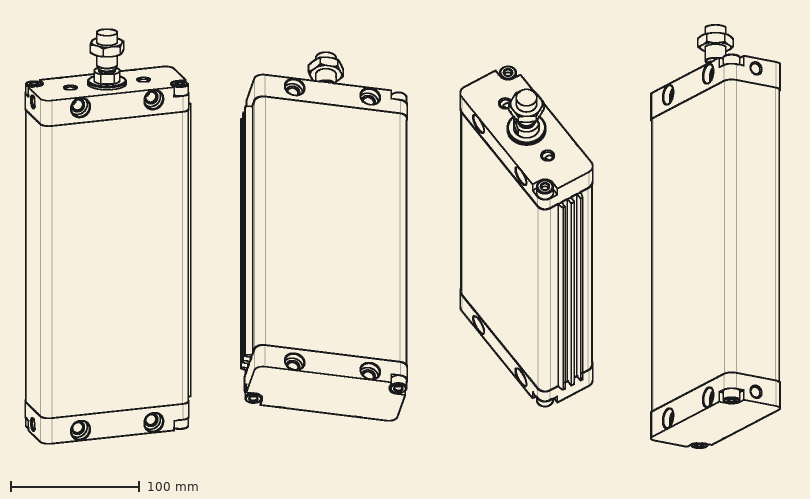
import cadquery as cq
import math


width = 50.0
length = 121.5
corner_radius = 7.0
cap_height = 21.0
barrel_height = 240.0
barrel_top = cap_height + barrel_height
body_top = barrel_top + cap_height

barrel_setback = 0.4
barrel_width = width - 2 * barrel_setback
barrel_length = length - 2 * barrel_setback

rail_width = 3.0
rail_height = 5.0
rail_pitch = 8.7
rail_root = 1.0
rail_depth = rail_height + rail_root
rail_tip_y = length / 2 + rail_height
outer_rail_side_radius = 12.0

screw_x = width / 2 - corner_radius
screw_y = length / 2 - corner_radius
screw_pocket_radius = corner_radius
screw_pocket_depth = 8.0
screw_head_diameter = 13.0
screw_head_face_diameter = 11.45
socket_diameter = 6.0
socket_mouth_diameter = 7.0
socket_depth = 4.0

thread_diameter = 8.38
thread_mouth_diameter = 10.4
thread_depth = 16.0
drill_diameter = 7.0
drill_depth = 18.0
thread_chamfer = (thread_mouth_diameter - thread_diameter) / 2
hole_inset = 8.5
cross_hole_y = 30.0
counterbore_diameter = 15.0
counterbore_mouth_diameter = 16.0
counterbore_depth = 6.0

collar_diameter = 30.0
collar_height = 2.6
collar_chamfer = 0.8

rod_diameter = 20.0
shoulder_height = 10.5
neck_diameter = 13.0
neck_height = 12.0
relief_diameter = 14.38
relief_chamfer = 0.64
relief_height = 15.0
rod_thread_diameter = 16.0
rod_projection = 42.0
rod_top = body_top + rod_projection
wrench_flat_width = 17.0
wrench_flat_angle = -15.0

nut_width = 24.0
nut_thickness = 8.0
nut_inset = 8.0
nut_top = rod_top - nut_inset
nut_face_diameter = 24.5
nut_chamfer_angle = math.radians(30)


def cylinder(diameter, bottom, top, x=0.0, y=0.0):
    return cq.Workplane("XY", origin=(x, y, bottom)).circle(diameter / 2).extrude(top - bottom)


def axial_hole(origin, direction, diameter, depth, mouth_diameter=None, mouth_depth=0.0):
    """Cutter for a blind hole, with an optional tapered mouth."""
    start = cq.Vector(*origin)
    axis = cq.Vector(*direction)
    cutter = cq.Solid.makeCylinder(diameter / 2, depth, start, axis)
    if mouth_diameter:
        mouth = cq.Solid.makeCone(mouth_diameter / 2, diameter / 2, mouth_depth, start, axis)
        cutter = cutter.fuse(mouth)
    return cq.Workplane(cutter)


def threaded_hole(origin, direction):
    """Blind threaded hole with a chamfered mouth and a narrower drilled bottom."""
    thread = axial_hole(
        origin, direction, thread_diameter, thread_depth, thread_mouth_diameter, thread_chamfer
    )
    return thread.union(axial_hole(origin, direction, drill_diameter, drill_depth))


def cross_hole(y, z):
    """Through hole along X, with a counterbore and a chamfered thread on both sides."""
    cutter = axial_hole((-width / 2, y, z), (1, 0, 0), thread_diameter, width)
    for side in (-1, 1):
        inward = (-side, 0, 0)
        counterbore = axial_hole(
            (side * width / 2, y, z),
            inward,
            counterbore_diameter,
            counterbore_depth,
            counterbore_mouth_diameter,
            (counterbore_mouth_diameter - counterbore_diameter) / 2,
        )
        floor = (side * (width / 2 - counterbore_depth), y, z)
        cutter = cutter.union(counterbore).union(threaded_hole(floor, inward))
    return cutter


def screw_pocket(corner, top):
    """Corner pocket that is round on the inside and open to both outer faces."""
    x = corner * screw_x
    y = corner * screw_y
    bottom = top - screw_pocket_depth
    pocket = cylinder(2 * screw_pocket_radius, bottom, top, x, y)
    reach = 2 * screw_pocket_radius
    for dx, dy in ((reach / 2, 0), (0, reach / 2)):
        opening = (
            cq.Workplane("XY", origin=(x + corner * dx, y + corner * dy, bottom))
            .rect(reach, reach)
            .extrude(screw_pocket_depth)
        )
        pocket = pocket.union(opening)
    return pocket


def screw_head(corner, top):
    x = corner * screw_x
    y = corner * screw_y
    head = cylinder(screw_head_diameter, top - screw_pocket_depth, top, x, y)
    head = head.faces(">Z").chamfer((screw_head_diameter - screw_head_face_diameter) / 2)
    mouth_depth = (socket_mouth_diameter - socket_diameter) / 2
    socket = axial_hole(
        (x, y, top), (0, 0, -1), socket_diameter, socket_depth, socket_mouth_diameter, mouth_depth
    )
    point = cq.Solid.makeCone(
        socket_diameter / 2, 0, socket_diameter / 2, cq.Vector(x, y, top - socket_depth), cq.Vector(0, 0, -1)
    )
    return head.cut(socket).cut(cq.Workplane(point))


def make_cap_block():
    """Cap with its outer end at the top, standing on Z = 0."""
    cap = (
        cq.Workplane("XY")
        .rect(width, length)
        .extrude(cap_height)
        .edges("|Z")
        .fillet(corner_radius)
    )
    hole_z = cap_height - hole_inset
    for y in (-cross_hole_y, cross_hole_y):
        cap = cap.cut(cross_hole(y, hole_z))
    cap = cap.cut(threaded_hole((0, -length / 2, hole_z), (0, 1, 0)))
    for corner in (-1, 1):
        cap = cap.cut(screw_pocket(corner, cap_height)).union(screw_head(corner, cap_height))
    return cap


def make_front_cap():
    cap = make_cap_block()
    for y in (-cross_hole_y, cross_hole_y):
        cap = cap.cut(threaded_hole((0, y, cap_height), (0, 0, -1)))
    collar_top = cap_height + collar_height
    collar = cylinder(collar_diameter, cap_height, collar_top).faces(">Z").chamfer(collar_chamfer)
    cap = cap.union(collar).cut(cylinder(rod_diameter, 0, collar_top))
    return cap.translate((0, 0, barrel_top))


def make_end_cap():
    return make_cap_block().mirror("XY").translate((0, 0, cap_height))


def rail_blank(center_x):
    """Plain rail that starts inside the barrel wall."""
    return (
        cq.Workplane("XY", origin=(center_x, rail_tip_y - rail_depth / 2, cap_height))
        .rect(rail_width, rail_depth)
        .extrude(barrel_height)
    )


def outer_rail(side):
    """Rail whose outward side curves inward from the barrel wall to the tip."""
    arc_center_x = side * (rail_pitch + rail_width / 2 - outer_rail_side_radius)
    rounding = (
        cq.Workplane("XY", origin=(arc_center_x, length / 2, cap_height))
        .circle(outer_rail_side_radius)
        .extrude(barrel_height)
    )
    return rail_blank(side * rail_pitch).intersect(rounding)


def make_barrel():
    barrel = (
        cq.Workplane("XY", origin=(0, 0, cap_height))
        .rect(barrel_width, barrel_length)
        .extrude(barrel_height)
        .edges("|Z")
        .fillet(corner_radius)
    )
    barrel = barrel.union(rail_blank(0))
    for side in (-1, 1):
        barrel = barrel.union(outer_rail(side))
    return barrel


def make_rod():
    flats = (
        cq.Workplane("XY", origin=(0, 0, body_top + collar_height))
        .transformed(rotate=(0, 0, wrench_flat_angle))
        .rect(wrench_flat_width, 2 * rod_diameter)
        .extrude(shoulder_height - collar_height)
    )
    shoulder = cylinder(rod_diameter, body_top + collar_height, body_top + shoulder_height).intersect(flats)
    rod = cylinder(rod_diameter, barrel_top, body_top + collar_height).union(shoulder)
    relief = cylinder(relief_diameter, body_top + neck_height, body_top + relief_height)
    relief = relief.faces("<Z").chamfer(relief_chamfer)
    return (
        rod.union(cylinder(neck_diameter, body_top + shoulder_height, body_top + neck_height))
        .union(relief)
        .union(cylinder(rod_thread_diameter, body_top + relief_height, rod_top))
    )


def make_nut():
    corner_diameter = nut_width / math.cos(math.pi / 6)
    nut_bottom = nut_top - nut_thickness
    nut = (
        cq.Workplane("XY", origin=(0, 0, nut_bottom))
        .transformed(rotate=(0, 0, 90))
        .polygon(6, corner_diameter)
        .extrude(nut_thickness)
    )
    slope = math.tan(nut_chamfer_angle)
    edge_height = slope * (corner_diameter - nut_face_diameter) / 2
    profile = [
        (0, 0),
        (nut_face_diameter / 2, 0),
        (corner_diameter / 2, edge_height),
        (corner_diameter / 2, nut_thickness - edge_height),
        (nut_face_diameter / 2, nut_thickness),
        (0, nut_thickness),
    ]
    rounding = (
        cq.Workplane("XZ", origin=(0, 0, nut_bottom))
        .polyline(profile)
        .close()
        .revolve(360, (0, 0, 0), (0, 1, 0))
    )
    nut = nut.intersect(rounding)
    return nut.cut(cylinder(rod_thread_diameter, nut_bottom, nut_top))


result = cq.Compound.makeCompound([
    make_barrel().val(),
    make_front_cap().val(),
    make_end_cap().val(),
    make_rod().val(),
    make_nut().val(),
])